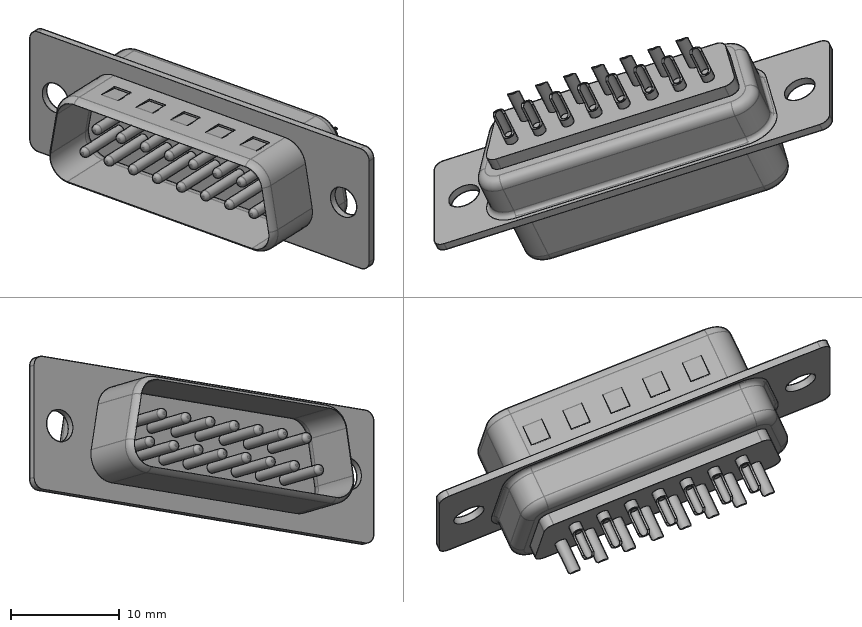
import cadquery as cq
import math


FLANGE_LENGTH = 39.2
FLANGE_HEIGHT = 12.55
FLANGE_THICKNESS = 0.7
FLANGE_CORNER_RADIUS = 0.98
SCREW_HOLE_SPACING = 33.3
SCREW_HOLE_DIAMETER = 3.0

SIDE_SLOPE = math.tan(math.radians(10.0))
SHELL_CORNER_RADIUS = 2.4
SHELL_HALF_WIDTH = 12.7
SHELL_HALF_HEIGHT = 4.6
HOOD_HALF_WIDTH = 13.4
HOOD_HALF_HEIGHT = 5.35
BLOCK_CORNER_RADIUS = 0.98
BLOCK_HALF_WIDTH = 11.88
BLOCK_HALF_HEIGHT = 3.45

SHELL_DEPTH = 6.08
SHELL_WALL = 0.45
MOUTH_RADIUS = 0.98
MOUTH_OVERRUN = MOUTH_RADIUS - math.sqrt(MOUTH_RADIUS**2 - (MOUTH_RADIUS - SHELL_WALL) ** 2)

HOOD_BACK = 4.82
HOOD_BACK_RADIUS = 0.98
HOOD_ROOT_RADIUS = 0.5

DIMPLE_COUNT = 5
DIMPLE_PITCH = 4.0
DIMPLE_ROW_CENTER = 0.4
DIMPLE_WIDTH = 1.9
DIMPLE_LENGTH = 2.0
DIMPLE_BACK = -1.65
DIMPLE_DEPTH = 0.2

FLARE_RADIUS = 1.45

BLOCK_BACK = 6.05

CONTACT_PITCH = 2.8
ROW_SPACING = 2.82
UPPER_ROW_COUNT = 7
LOWER_ROW_COUNT = 8
PIN_DIAMETER = 1.0
PIN_TIP = -4.95
PIN_TIP_RADIUS = 0.4
TAIL_DIAMETER = 1.18
TAIL_END = 9.4
CUP_DIAMETER = 0.8
CUP_LENGTH = 2.6
CUP_STEP_RADIUS = 0.7
CUP_FLOOR_HEIGHT = 0.5
CUP_TIP_CHAMFER = 0.27


def d_prism(half_width, half_height, radius, y_front, y_back):
    """Prism along Y with a D outline, wider at the bottom, corners rounded."""
    lean = half_height * SIDE_SLOPE
    bottom = half_width + lean
    top = half_width - lean
    corners = [(-bottom, -half_height), (bottom, -half_height), (top, half_height), (-top, half_height)]
    outline = cq.Workplane("XZ", origin=(0, y_front, 0)).polyline(corners).close()
    return outline.extrude(y_front - y_back).edges("|Y").fillet(radius)


def round_bar(diameter, y_front, y_back):
    """Cylinder on the Y axis."""
    return cq.Workplane("XZ", origin=(0, y_front, 0)).circle(diameter / 2).extrude(y_front - y_back)


def row_places(count, z):
    """X and Z of each contact in one row, centred on X = 0."""
    return [((i - (count - 1) / 2) * CONTACT_PITCH, z) for i in range(count)]


UPPER_ROW = row_places(UPPER_ROW_COUNT, ROW_SPACING / 2)
LOWER_ROW = row_places(LOWER_ROW_COUNT, -ROW_SPACING / 2)


def make_flange():
    """Flat plate with rounded corners and two screw holes."""
    plate = cq.Workplane("XZ").rect(FLANGE_LENGTH, FLANGE_HEIGHT).extrude(-FLANGE_THICKNESS)
    plate = plate.edges("|Y").fillet(FLANGE_CORNER_RADIUS)
    screw_spots = [(-SCREW_HOLE_SPACING / 2, 0), (SCREW_HOLE_SPACING / 2, 0)]
    holes = cq.Workplane("XZ").pushPoints(screw_spots).circle(SCREW_HOLE_DIAMETER / 2)
    return plate.cut(holes.extrude(-FLANGE_THICKNESS))


def make_dimple(x_center):
    """Wedge that is deepest at its +Y end and runs out at its -Y end."""
    back = (DIMPLE_BACK, SHELL_HALF_HEIGHT)
    deep = (DIMPLE_BACK, SHELL_HALF_HEIGHT - DIMPLE_DEPTH)
    front = (DIMPLE_BACK - DIMPLE_LENGTH, SHELL_HALF_HEIGHT)
    profile = cq.Workplane("YZ", origin=(x_center, 0, 0)).polyline([back, deep, front]).close()
    return profile.extrude(DIMPLE_WIDTH / 2, both=True)


def back_rim(half_width, half_height):
    """Selector for edges on the back face of the flange within a centred rectangle."""
    margin = 0.05
    near_corner = (-half_width, FLANGE_THICKNESS - margin, -half_height)
    far_corner = (half_width, FLANGE_THICKNESS + margin, half_height)
    return cq.selectors.BoxSelector(near_corner, far_corner)


def make_shell():
    """Metal shell: flange and front shell in one piece, open from mouth to back."""
    tip = -SHELL_DEPTH - MOUTH_OVERRUN
    front = d_prism(SHELL_HALF_WIDTH, SHELL_HALF_HEIGHT, SHELL_CORNER_RADIUS, tip, 0)
    front = front.faces("<Y").edges().fillet(MOUTH_RADIUS)
    body = make_flange().union(front)

    cavity_half_width = SHELL_HALF_WIDTH - SHELL_WALL * math.hypot(1.0, SIDE_SLOPE)
    cavity_half_height = SHELL_HALF_HEIGHT - SHELL_WALL
    cavity_corner_radius = SHELL_CORNER_RADIUS - SHELL_WALL
    cavity = d_prism(cavity_half_width, cavity_half_height, cavity_corner_radius, tip, FLANGE_THICKNESS)
    body = body.cut(cavity)
    body = body.edges(back_rim(SHELL_HALF_WIDTH + SHELL_WALL, SHELL_HALF_HEIGHT)).fillet(FLARE_RADIUS)

    for i in range(DIMPLE_COUNT):
        x_center = DIMPLE_ROW_CENTER + (i - (DIMPLE_COUNT - 1) / 2) * DIMPLE_PITCH
        body = body.cut(make_dimple(x_center))
    return body


def make_hood():
    """Rounded housing behind the flange, its foot flared onto the flange."""
    hood = d_prism(HOOD_HALF_WIDTH, HOOD_HALF_HEIGHT, SHELL_CORNER_RADIUS, FLANGE_THICKNESS, HOOD_BACK)
    hood = hood.faces(">Y").edges().fillet(HOOD_BACK_RADIUS)

    plate = cq.Workplane("XZ").rect(FLANGE_LENGTH, FLANGE_HEIGHT).extrude(-FLANGE_THICKNESS)
    foot_reach = 2 * HOOD_ROOT_RADIUS
    foot = back_rim(HOOD_HALF_WIDTH + foot_reach, HOOD_HALF_HEIGHT + HOOD_ROOT_RADIUS)
    return hood.union(plate).edges(foot).fillet(HOOD_ROOT_RADIUS).cut(plate)


def make_contact():
    """Contact centred on the Y axis, its solder cup open upward."""
    pin = round_bar(PIN_DIAMETER, PIN_TIP, FLANGE_THICKNESS)
    pin = pin.faces("<Y").edges().fillet(PIN_TIP_RADIUS)
    tail = round_bar(TAIL_DIAMETER, FLANGE_THICKNESS, TAIL_END)
    bore = round_bar(CUP_DIAMETER, TAIL_END - CUP_LENGTH, TAIL_END)

    top = TAIL_DIAMETER / 2
    floor = CUP_FLOOR_HEIGHT - top
    step = TAIL_END - CUP_LENGTH
    opening = (
        cq.Workplane("YZ")
        .moveTo(step, top)
        .lineTo(step, floor + CUP_STEP_RADIUS)
        .radiusArc((step + CUP_STEP_RADIUS, floor), -CUP_STEP_RADIUS)
        .lineTo(TAIL_END - CUP_TIP_CHAMFER, floor)
        .lineTo(TAIL_END, floor - CUP_TIP_CHAMFER)
        .lineTo(TAIL_END, top)
        .close()
        .extrude(TAIL_DIAMETER, both=True)
    )
    return pin.union(tail.cut(bore).cut(opening))


def make_insulator():
    """Hood and insulator block with the two rows of contacts moulded in."""
    block = d_prism(
        BLOCK_HALF_WIDTH, BLOCK_HALF_HEIGHT, BLOCK_CORNER_RADIUS, FLANGE_THICKNESS, BLOCK_BACK
    )
    body = make_hood().union(block)
    upper = make_contact()
    lower = upper.rotate((0, 0, 0), (0, 1, 0), 180)
    for contact, row in [(upper, UPPER_ROW), (lower, LOWER_ROW)]:
        for x, z in row:
            body = body.union(contact.translate((x, 0, z)))
    return body


shell = make_shell()
insulator = make_insulator()
result = cq.Compound.makeCompound([shell.val(), insulator.val()])